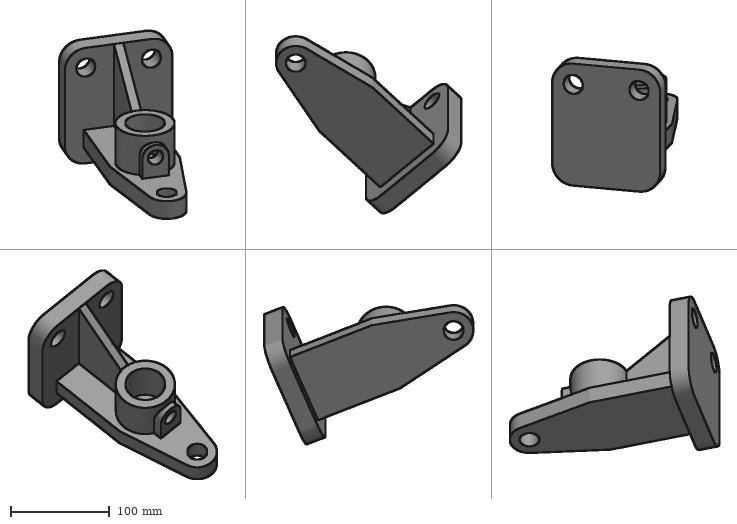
import cadquery as cq

plate_thickness = 20.0
plate_width = 114.0
plate_height = 130.0
corner_radius = 22.2
hole_diameter = 20.0

arm_bottom = 18.0
arm_thickness = 20.0
arm_top = arm_bottom + arm_thickness
arm_width = 74.0
arm_length = 204.0
tip_radius = 20.0
tip_x = arm_length - tip_radius

boss_x = 110.0
boss_diameter = 60.0
bore_diameter = 40.0
boss_top = 82.0

rib_thickness = 10.0

lug_end_x = 146.0
lug_radius = 14.0
lug_axis_z = 60.0
cross_hole_diameter = 16.0


def make_plate():
    corner_y = plate_width / 2 - corner_radius
    corner_z = plate_height - corner_radius
    plate = (
        cq.Workplane("XY")
        .box(plate_thickness, plate_width, plate_height, centered=(False, True, False))
        .edges("|X")
        .fillet(corner_radius)
    )
    holes = (
        cq.Workplane("YZ")
        .pushPoints([(-corner_y, corner_z), (corner_y, corner_z)])
        .circle(hole_diameter / 2)
        .extrude(plate_thickness)
    )
    return plate.cut(holes)


def make_arm():
    """Straight to the boss axis, then tapering tangentially into the round tip."""
    half_width = arm_width / 2
    run = tip_x - boss_x
    reach_squared = run**2 + half_width**2
    tangent_length = (reach_squared - tip_radius**2) ** 0.5
    nx = (half_width * tangent_length - run * tip_radius) / reach_squared
    ny = (run * tangent_length + half_width * tip_radius) / reach_squared
    tangent_x = tip_x + tip_radius * nx
    tangent_y = tip_radius * ny
    return (
        cq.Workplane("XY", origin=(0, 0, arm_bottom))
        .moveTo(0, -half_width)
        .lineTo(boss_x, -half_width)
        .lineTo(tangent_x, -tangent_y)
        .threePointArc((arm_length, 0), (tangent_x, tangent_y))
        .lineTo(boss_x, half_width)
        .lineTo(0, half_width)
        .close()
        .extrude(arm_thickness)
    )


def make_rib():
    boss_near_x = boss_x - boss_diameter / 2
    return (
        cq.Workplane("XZ")
        .moveTo(plate_thickness, arm_top)
        .lineTo(plate_thickness, plate_height)
        .lineTo(boss_near_x, boss_top)
        .lineTo(boss_x, boss_top)
        .lineTo(boss_x, arm_top)
        .close()
        .extrude(rib_thickness / 2, both=True)
    )


def make_lug():
    length = lug_end_x - boss_x
    return (
        cq.Workplane("YZ", origin=(boss_x, 0, 0))
        .moveTo(-lug_radius, arm_top)
        .lineTo(-lug_radius, lug_axis_z)
        .threePointArc((0, lug_axis_z + lug_radius), (lug_radius, lug_axis_z))
        .lineTo(lug_radius, arm_top)
        .close()
        .extrude(length)
    )


def vertical_cylinder(x, diameter, bottom, top):
    return cq.Workplane("XY", origin=(x, 0, bottom)).circle(diameter / 2).extrude(top - bottom)


cross_hole = (
    cq.Workplane("YZ", origin=(boss_x, 0, lug_axis_z))
    .circle(cross_hole_diameter / 2)
    .extrude(lug_end_x - boss_x)
)

result = (
    make_plate()
    .union(make_arm())
    .union(make_rib())
    .union(make_lug())
    .union(vertical_cylinder(boss_x, boss_diameter, arm_top, boss_top))
    .cut(vertical_cylinder(boss_x, bore_diameter, arm_top, boss_top))
    .cut(cross_hole)
    .cut(vertical_cylinder(tip_x, hole_diameter, arm_bottom, arm_top))
)